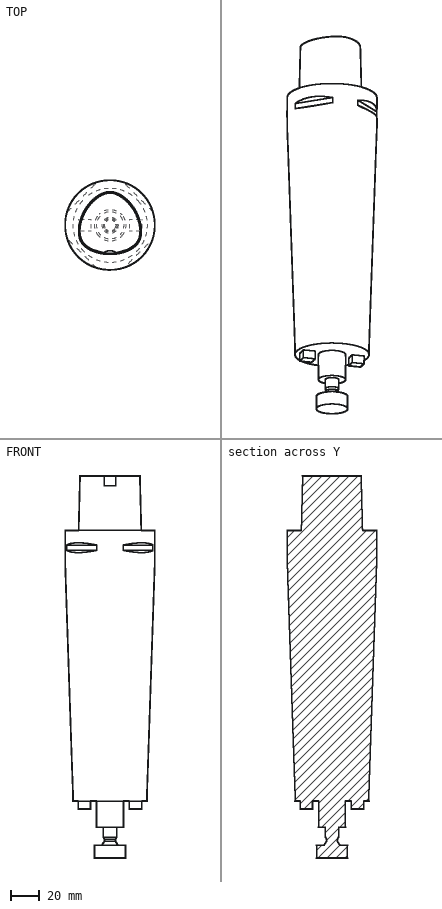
import cadquery as cq
import math


shank_length = 38.0
shank_mean_diameter = 44.0
shank_taper = 1 / 20
shank_eccentricity = 1.4
lobe_half_angle = math.radians(36)
lobe_count = 3
lobe_pitch = 2 * math.pi / lobe_count
curve_steps = 12

notch_width = 8.0
notch_height = 6.7
notch_edge_y = -19.2
notch_deepest_y = -17.9

flange_diameter = 63.0
flange_height = 22.0
body_length = 189.5
nose_diameter = 52.0
nose_height = 5.0

groove_drop = 12.2
groove_floor_radius = 27.85
groove_floor_height = 3.7
groove_mouth_height = 6.9
groove_count = 4
groove_first_angle = 45.0

key_width = 7.9
key_height = 5.7
key_inner_radius = 13.5
key_outer_radius = 22.3

pilot_diameter = 19.05
pilot_length = 18.5
screw_diameter = 9.53
screw_shank_length = 6.7
neck_diameter = 7.9
neck_taper_length = 1.5
neck_length = 1.5
collar_diameter = 11.3
collar_height = 2.6
head_diameter = 22.0
total_length = 267.5


def shank_point(mean_diameter, angle):
    """Point of the polygon curve whose normal is turned by angle from +Y toward -X."""
    radius = mean_diameter / 2
    e = shank_eccentricity
    along = radius * math.cos(angle) + 2 * e * math.cos(2 * angle) - e * math.cos(4 * angle)
    across = radius * math.sin(angle) - 2 * e * math.sin(2 * angle) - e * math.sin(4 * angle)
    return (-across, along)


def shank_outline(workplane, mean_diameter):
    """Closed outline of alternating lobe and flank curves."""
    outline = workplane.moveTo(*shank_point(mean_diameter, -lobe_half_angle))
    for lobe in range(lobe_count):
        start = lobe * lobe_pitch - lobe_half_angle
        seam = lobe * lobe_pitch + lobe_half_angle
        end = start + lobe_pitch
        for first, last in ((start, seam), (seam, end)):
            step = (last - first) / curve_steps
            points = [shank_point(mean_diameter, first + i * step) for i in range(1, curve_steps + 1)]
            outline = outline.spline(points, includeCurrent=True)
    return outline.close()


def make_shank():
    top_diameter = shank_mean_diameter - shank_taper * shank_length
    base = shank_outline(cq.Workplane("XY"), shank_mean_diameter)
    shank = shank_outline(base.workplane(offset=shank_length), top_diameter).loft(ruled=True)
    half_width = notch_width / 2
    clear_y = -flange_diameter / 2
    notch = (
        cq.Workplane("XY", origin=(0, 0, shank_length - notch_height))
        .moveTo(-half_width, clear_y)
        .lineTo(-half_width, notch_edge_y)
        .threePointArc((0, notch_deepest_y), (half_width, notch_edge_y))
        .lineTo(half_width, clear_y)
        .close()
        .extrude(notch_height)
    )
    return shank.cut(notch)


def make_turned_body():
    """Flange, tapered body, nose, pilot and screw as one revolved profile."""
    flange_r = flange_diameter / 2
    nose_r = nose_diameter / 2
    pilot_r = pilot_diameter / 2
    screw_r = screw_diameter / 2
    neck_r = neck_diameter / 2
    collar_r = collar_diameter / 2
    head_r = head_diameter / 2
    pilot_end = -body_length - pilot_length
    screw_end = pilot_end - screw_shank_length
    neck_start = screw_end - neck_taper_length
    neck_end = neck_start - neck_length
    head_top = neck_end - collar_height
    head_bottom = shank_length - total_length
    profile = [
        (0, 0),
        (flange_r, 0),
        (flange_r, -flange_height),
        (nose_r, nose_height - body_length),
        (nose_r, -body_length),
        (pilot_r, -body_length),
        (pilot_r, pilot_end),
        (screw_r, pilot_end),
        (screw_r, screw_end),
        (neck_r, neck_start),
        (neck_r, neck_end),
        (collar_r, head_top),
        (head_r, head_top),
        (head_r, head_bottom),
        (0, head_bottom),
    ]
    return cq.Workplane("XZ").polyline(profile).close().revolve(360, (0, 0), (0, 1))


def make_groove(angle):
    """Straight cutter with a trapezoid section, flaring outward to the flange rim."""
    rim_radius = flange_diameter / 2
    section = [
        (groove_floor_radius, -groove_floor_height / 2),
        (rim_radius, -groove_mouth_height / 2),
        (rim_radius, groove_mouth_height / 2),
        (groove_floor_radius, groove_floor_height / 2),
    ]
    cutter = cq.Workplane("XZ").polyline(section).close().extrude(flange_diameter / 2, both=True)
    return cutter.translate((0, 0, -groove_drop)).rotate((0, 0, 0), (0, 0, 1), angle)


def make_key(side):
    """Drive key on the +X (side = 1) or -X (side = -1) half of the nose."""
    centre_x = side * (key_inner_radius + key_outer_radius) / 2
    key = cq.Workplane("XY").box(key_outer_radius - key_inner_radius, key_width, key_height)
    return key.translate((centre_x, 0, -body_length - key_height / 2))


result = make_turned_body().union(make_shank())
for index in range(groove_count):
    result = result.cut(make_groove(groove_first_angle + index * 360 / groove_count))
for side in (-1, 1):
    result = result.union(make_key(side))